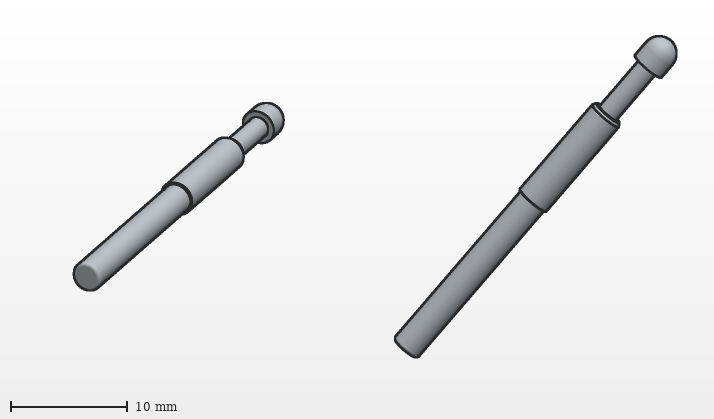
import cadquery as cq
import math

total_length = 35.3
tip_y = total_length / 2
end_y = -total_length / 2

head_radius = 1.5
head_length = 2 * head_radius

stem_radius = 0.95

body_radius = head_radius
body_start = 8.33
body_length = 10.0
body_chamfer_length = 0.32
body_chamfer_depth = 0.18

tail_radius = 1.325
tail_fillet = 0.3

dome_base_y = tip_y - head_radius
head_bottom_y = tip_y - head_length
body_top_y = tip_y - body_start
body_bottom_y = body_top_y - body_length

diagonal = math.sqrt(0.5)
dome_middle = (head_radius * diagonal, dome_base_y + head_radius * diagonal)
fillet_center_x = tail_radius - tail_fillet
fillet_center_y = end_y + tail_fillet
fillet_middle = (
    fillet_center_x + tail_fillet * diagonal,
    fillet_center_y - tail_fillet * diagonal,
)

profile = (
    cq.Workplane("XY")
    .moveTo(0, tip_y)
    .threePointArc(dome_middle, (head_radius, dome_base_y))
    .lineTo(head_radius, head_bottom_y)
    .lineTo(stem_radius, head_bottom_y)
    .lineTo(stem_radius, body_top_y)
    .lineTo(body_radius - body_chamfer_depth, body_top_y)
    .lineTo(body_radius, body_top_y - body_chamfer_length)
    .lineTo(body_radius, body_bottom_y)
    .lineTo(tail_radius, body_bottom_y)
    .lineTo(tail_radius, fillet_center_y)
    .threePointArc(fillet_middle, (fillet_center_x, end_y))
    .lineTo(0, end_y)
    .close()
)

result = profile.revolve(360, (0, 0, 0), (0, 1, 0))